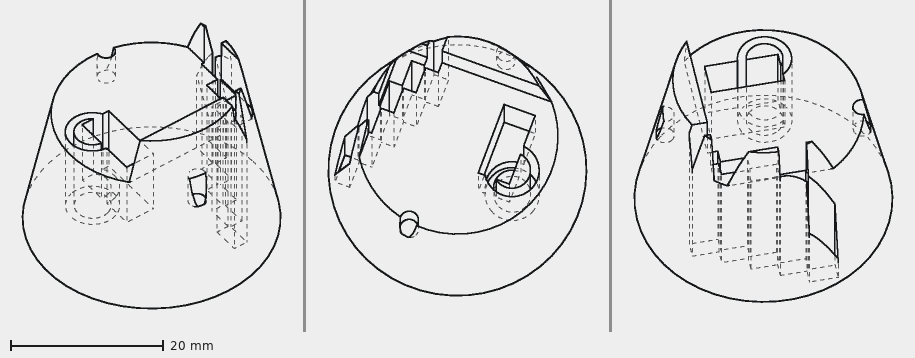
import cadquery as cq

base_radius = 16.95
body_height = 26.0
top_radius = 11.9
floor_height = 19.3

seat_right_wall = 8.6
seat_back_wall = 11.1

step_count = 5
step_length = 3.83
step_width = 2.03
step_pitch_x = 3.55
step_pitch_y = -1.8
first_step_x = -5.1
first_step_y = 13.52

pocket_left = -3.7
pocket_front = -8.6
pocket_length = 9.83
pocket_width = 4.35
pocket_depth = 10.15

ring_x = -1.83
ring_y = -8.3
ring_outer_diameter = 7.1
ring_inner_diameter = 4.85
ring_depth = 13.55

notch_diameter = 2.45
notch_depth = 4.65
notch_x = 12.8
notch_y = -2.03


def tapered_body():
    profile = [(0, 0), (base_radius, 0), (top_radius, body_height), (0, body_height)]
    return cq.Workplane("XZ").polyline(profile).close().revolve(360, (0, 0), (0, 1))


def floor_plane():
    return cq.Workplane("XY", origin=(0, 0, floor_height))


def seat():
    return floor_plane().box(
        base_radius + seat_right_wall,
        base_radius + seat_back_wall,
        body_height - floor_height,
        centered=False,
    ).translate((-base_radius, -base_radius, 0))


def staircase():
    centers = [
        (first_step_x + i * step_pitch_x, first_step_y + i * step_pitch_y)
        for i in range(step_count)
    ]
    steps = cq.Workplane("XY")
    for x, y in centers:
        step = cq.Workplane("XY").center(x, y).rect(step_length, step_width).extrude(body_height)
        steps = steps.add(step)
    return steps.combine()


def pocket():
    return (
        floor_plane()
        .center(pocket_left, pocket_front)
        .rect(pocket_length, pocket_width, centered=False)
        .extrude(-pocket_depth)
    )


def ring_groove():
    return (
        floor_plane()
        .center(ring_x, ring_y)
        .circle(ring_outer_diameter / 2)
        .circle(ring_inner_diameter / 2)
        .extrude(-ring_depth)
    )


def pin_notches():
    return (
        floor_plane()
        .pushPoints([(notch_x, notch_y), (-notch_x, -notch_y)])
        .circle(notch_diameter / 2)
        .extrude(-notch_depth)
    )


result = (
    tapered_body()
    .cut(seat())
    .cut(staircase())
    .cut(pocket())
    .cut(ring_groove())
    .cut(pin_notches())
)